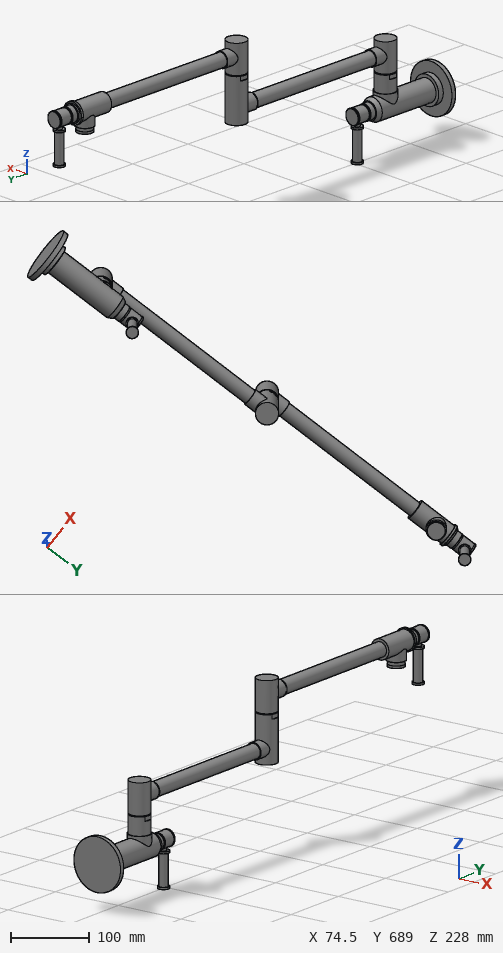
import cadquery as cq


reach = 689.0
wall_plate_dia = 74.5
wall_plate_thickness = 7.0
wall_hub_dia = 43.5
wall_hub_front = 15.0
inlet_dia = 34.0
inlet_end = 112.0
inlet_valve_tip = 150.0

post_dia = 29.5
post_spacing = 269.0
inner_post_y = 89.5
outer_post_y = inner_post_y + post_spacing
arm_rise = 71.0
arm_inset = 21.0
lower_arm_z = arm_rise
upper_arm_z = 2 * arm_rise
joint_depth = 44.0
joint_gap = 1.5
joint_gap_depth = 0.4
notch_width = 12.5
notch_height = 6.0
notch_depth = 1.5
saddle_dia = 32.0
saddle_top = 21.0

tube_dia = 21.0
socket_dia = 23.5
socket_reach = 27.5

spout_body_dia = 28.0
spout_body_length = 56.5
valve_ring_dia = 32.0
valve_ring_width = 3.5
spout_y = 633.0
spout_dia = 26.0
spout_drop = 22.0
aerator_dia = 23.0
aerator_collar_dia = 23.5
aerator_collar_height = 3.5
aerator_height = 8.0

knob_dia = 23.5
knob_barrel_dia = 23.0
knob_cap_width = 3.0
knob_cap_chamfer = 1.0
knob_length = 21.0
knob_groove_width = 2.0
knob_groove_dia = 21.5
neck_length = 8.0
collar_dia = 27.0
collar_width = 3.0
valve_length = knob_length + knob_groove_width + neck_length + collar_width

lever_inset = 9.5
lever_length = 65.0
lever_dia = 12.5
lever_flange_dia = 16.0
lever_flange_thickness = 3.0
lever_shoulder = 14.5
lever_neck_dia = 8.0


def rod_y(dia, start, end, z):
    """Round bar along Y, from Y = start to Y = end, at height z."""
    return (
        cq.Workplane("XZ", origin=(0, start, z))
        .circle(dia / 2)
        .extrude(start - end)
    )


def rod_z(dia, bottom, top, y):
    """Round bar along Z, from Z = bottom to Z = top, at the given Y."""
    return (
        cq.Workplane("XY", origin=(0, y, bottom))
        .circle(dia / 2)
        .extrude(top - bottom)
    )


def wall_mount():
    """Wall plate, hub and the horizontal inlet body with a bevelled front end."""
    plate = rod_y(wall_plate_dia, 0, wall_plate_thickness, 0)
    hub = rod_y(wall_hub_dia, 0, wall_hub_front, 0)
    bevelled_end = inlet_valve_tip - valve_length + collar_width
    bevel = (inlet_dia - collar_dia) / 2
    body = rod_y(inlet_dia, 0, bevelled_end, 0).faces(">Y").chamfer(bevelled_end - inlet_end, bevel)
    return plate.union(hub).union(body)


def valve(tip_y, z):
    """Valve stem, grooved knob and hanging lever; tip_y is the outer end of the knob."""
    knob_back = tip_y - knob_length
    groove_back = knob_back - knob_groove_width
    neck_back = groove_back - neck_length
    cap = rod_y(knob_dia, tip_y - knob_cap_width, tip_y, z).faces(">Y").chamfer(knob_cap_chamfer)
    barrel = rod_y(knob_barrel_dia, knob_back, tip_y - knob_cap_width, z)
    groove = rod_y(knob_groove_dia, groove_back, knob_back, z)
    neck = rod_y(knob_dia, neck_back, groove_back, z)
    collar = rod_y(collar_dia, neck_back - collar_width, neck_back, z)

    lever_y = tip_y - lever_inset
    shoulder = z - lever_shoulder
    bottom = z - lever_length
    lever = rod_z(lever_dia, bottom, shoulder, lever_y)
    lever_neck = rod_z(lever_neck_dia, shoulder, z, lever_y)
    lever = lever.union(lever_neck)
    for flange_bottom in (bottom, shoulder - lever_flange_thickness):
        flange = rod_z(lever_flange_dia, flange_bottom, flange_bottom + lever_flange_thickness, lever_y)
        lever = lever.union(flange)
    return cap.union(barrel).union(groove).union(neck).union(collar).union(lever)


def swivel_post(y, bottom, top):
    """Upright post with a fine swivel gap and a stop notch on each X side below it."""
    joint = top - joint_depth
    gap_bottom = joint - joint_gap
    post = rod_z(post_dia, bottom, top, y)
    core = rod_z(post_dia - 2 * joint_gap_depth, gap_bottom, joint, y)
    post = post.cut(rod_z(post_dia, gap_bottom, joint, y).cut(core))
    for side in (-1, 1):
        notch = cq.Workplane("XY").box(2 * notch_depth, notch_width, notch_height)
        post = post.cut(notch.translate((side * post_dia / 2, y, gap_bottom - notch_height / 2)))
    return post


def spout():
    """Body at the end of the upper arm, with its front ring, downspout and aerator."""
    front = reach - valve_length
    body = rod_y(spout_body_dia, front - spout_body_length, front, upper_arm_z)
    ring = rod_y(valve_ring_dia, front - valve_ring_width, front, upper_arm_z)
    shoulder = upper_arm_z - spout_drop
    downspout = rod_z(spout_dia, shoulder, upper_arm_z, spout_y)
    aerator_bottom = shoulder - aerator_height
    aerator = rod_z(aerator_dia, aerator_bottom, shoulder, spout_y)
    aerator_collar = rod_z(aerator_collar_dia, aerator_bottom, aerator_bottom + aerator_collar_height, spout_y)
    return body.union(ring).union(downspout).union(aerator).union(aerator_collar)


def arms():
    """Lower arm between the posts, upper arm out to the spout, and their sockets."""
    lower = rod_y(tube_dia, inner_post_y, outer_post_y, lower_arm_z)
    upper = rod_y(tube_dia, outer_post_y, spout_y, upper_arm_z)
    both = lower.union(upper)
    sockets = (
        (inner_post_y, 1, lower_arm_z),
        (outer_post_y, -1, lower_arm_z),
        (outer_post_y, 1, upper_arm_z),
    )
    for post_y, direction, z in sockets:
        both = both.union(rod_y(socket_dia, post_y, post_y + direction * socket_reach, z))
    return both


inner_post = swivel_post(inner_post_y, 0, lower_arm_z + arm_inset)
outer_post = swivel_post(outer_post_y, lower_arm_z - arm_inset, upper_arm_z + arm_inset)
saddle = rod_z(saddle_dia, 0, saddle_top, inner_post_y)

result = (
    wall_mount()
    .union(saddle)
    .union(inner_post)
    .union(outer_post)
    .union(arms())
    .union(spout())
    .union(valve(inlet_valve_tip, 0))
    .union(valve(reach, upper_arm_z))
)